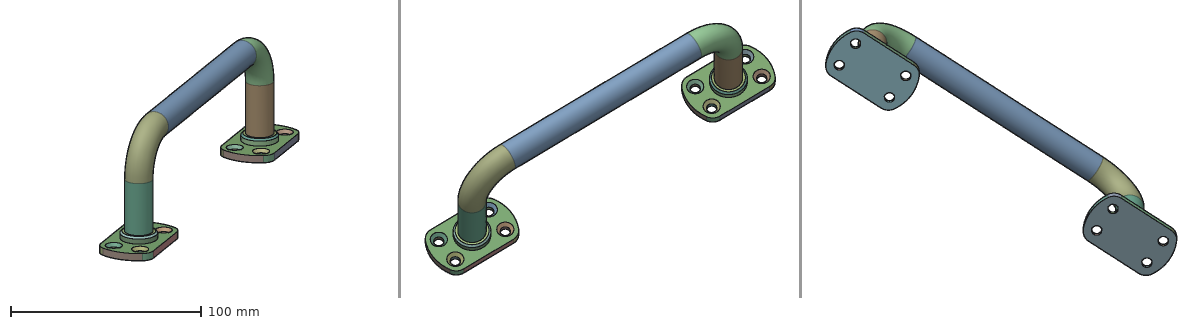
import cadquery as cq
import math

overall_length = 214.5
overall_height = 67.0

plate_width = 30.0
plate_length = 49.5
plate_thickness = 4.0
corner_radius = 6.9
collar_diameter = 20.0
collar_height = 3.9
collar_chamfer = 1.0
hole_diameter = 5.4
countersink_diameter = 9.0
countersink_angle = 90.0
hole_spacing_x = 15.0
hole_spacing_y = 32.2

bar_diameter = 15.0
bend_radius = 22.5

leg_y = (overall_length - plate_length) / 2
collar_top = plate_thickness + collar_height
bar_axis_height = overall_height - bar_diameter / 2
bend_start_height = bar_axis_height - bend_radius
bend_end_y = leg_y - bend_radius


def plate_blank():
    """Plate whose round ends share one centre and blend into the straight sides."""
    end_radius = plate_length / 2
    half_width = plate_width / 2
    corner_x = half_width - corner_radius
    corner_distance = end_radius - corner_radius
    corner_y = math.sqrt(corner_distance**2 - corner_x**2)
    end_angle = math.atan2(corner_y, corner_x)
    end_x = end_radius * math.cos(end_angle)
    end_y = end_radius * math.sin(end_angle)
    middle_x = corner_x + corner_radius * math.cos(end_angle / 2)
    middle_y = corner_y + corner_radius * math.sin(end_angle / 2)
    return (
        cq.Workplane("XY")
        .moveTo(half_width, -corner_y)
        .lineTo(half_width, corner_y)
        .threePointArc((middle_x, middle_y), (end_x, end_y))
        .threePointArc((0, end_radius), (-end_x, end_y))
        .threePointArc((-middle_x, middle_y), (-half_width, corner_y))
        .lineTo(-half_width, -corner_y)
        .threePointArc((-middle_x, -middle_y), (-end_x, -end_y))
        .threePointArc((0, -end_radius), (end_x, -end_y))
        .threePointArc((middle_x, -middle_y), (half_width, -corner_y))
        .close()
        .extrude(plate_thickness)
    )


def make_flange(center_y):
    """Plate with four countersunk screw holes and a chamfered collar under the bar."""
    plate = (
        plate_blank()
        .faces(">Z")
        .workplane(origin=(0, 0, plate_thickness))
        .rarray(hole_spacing_x, hole_spacing_y, 2, 2)
        .cskHole(hole_diameter, countersink_diameter, countersink_angle)
    )
    collar = (
        cq.Workplane("XY")
        .workplane(offset=plate_thickness)
        .circle(collar_diameter / 2)
        .extrude(collar_height)
        .faces(">Z")
        .chamfer(collar_chamfer)
    )
    return plate.union(collar).translate((0, center_y, 0)).solids()


def make_bar():
    """Round bar with two legs standing on the collars, two bends and a straight grip."""
    bend_offset = bend_radius * math.sin(math.radians(45))
    bend_middle_y = bend_end_y + bend_offset
    bend_middle_z = bend_start_height + bend_offset
    path = (
        cq.Workplane("YZ")
        .moveTo(-leg_y, collar_top)
        .lineTo(-leg_y, bend_start_height)
        .threePointArc((-bend_middle_y, bend_middle_z), (-bend_end_y, bar_axis_height))
        .lineTo(bend_end_y, bar_axis_height)
        .threePointArc((bend_middle_y, bend_middle_z), (leg_y, bend_start_height))
        .lineTo(leg_y, collar_top)
    )
    return (
        cq.Workplane("XY")
        .workplane(offset=collar_top)
        .center(0, -leg_y)
        .circle(bar_diameter / 2)
        .sweep(path)
    )


bar = make_bar()
flanges = [make_flange(center_y) for center_y in (-leg_y, leg_y)]

result = cq.Compound.makeCompound([bar.val(), *[flange.val() for flange in flanges]])